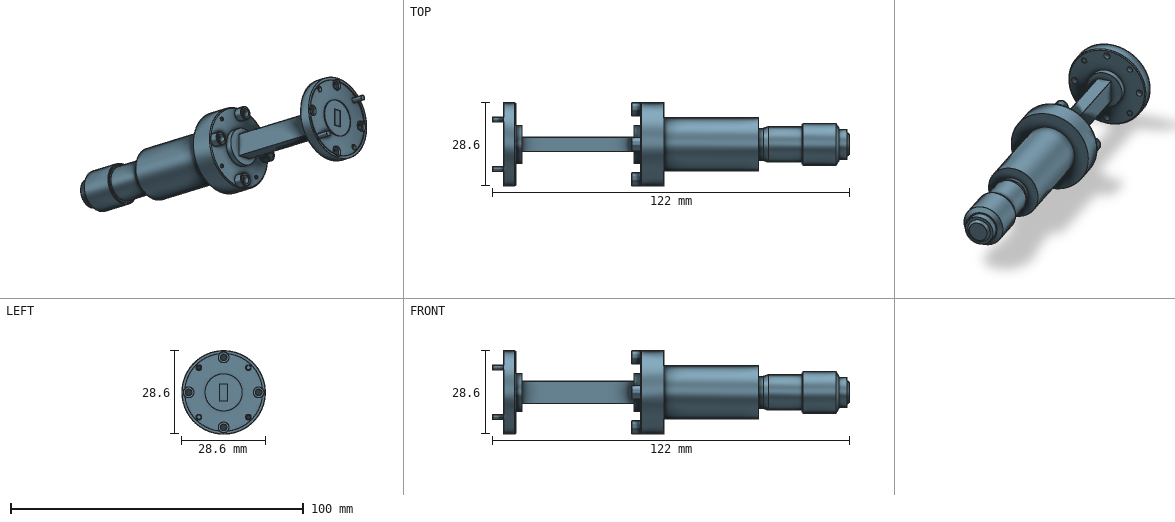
import cadquery as cq

overall_length = 122.0
pin_tip_x = -overall_length / 2
rear_end_x = overall_length / 2

flange_radius = 14.3
front_flange_thickness = 4.1
rear_flange_thickness = 8.0
flange_edge_chamfer = 0.4
collar_radius = 6.5
collar_length = 2.2

face_groove_inner_radius = 6.3
face_groove_outer_radius = 13.3
face_groove_depth = 0.4
bolt_hole_radius = 1.1
bolt_counterbore_radius = 1.8
bolt_counterbore_depth = 1.3

pin_radius = 0.9
pin_hole_radius = 1.0
rear_pin_hole_radius = 0.6
rear_pin_hole_depth = 0.4
pin_protrusion = 3.8
pin_angles = (135, 315)
pin_hole_angles = (45, 135, 225, 315)

tube_width = 4.9
tube_height = 7.7
window_width = 2.7
window_height = 5.7
window_depth = 0.2

front_flange_x = pin_tip_x + pin_protrusion
front_flange_back_x = front_flange_x + front_flange_thickness
rear_flange_x = -10.5
rear_flange_back_x = rear_flange_x + rear_flange_thickness

screw_head_radius = 2.3
bolt_circle_radius = flange_radius - screw_head_radius
screw_head_height = 3.0
screw_head_chamfer = 0.2
screw_socket_radius = 1.5
screw_socket_depth = 2.5
screw_shank_radius = 1.5
screw_shank_length = 4.9
bolt_angles = (0, 90, 180, 270)

housing_radius = 9.1
housing_length = 32.3
housing_end_x = rear_flange_back_x + housing_length

neck_radius = 5.5
neck_end_x = 31.5
barrel_radius = 6.1
barrel_taper_end_x = 33.2
thimble_radius = 7.2
thimble_lip_radius = 6.7
thimble_lip_x = 44.6
thimble_x = 45.0
thimble_cone_x = 56.2
thimble_cone_end_radius = 5.5
knob_x = 57.3
knob_radius = 5.1
knob_end_x = 60.0
knob_tip_large_radius = 4.1
knob_tip_radius = 3.3


def x_cylinder(start_x, length, radius):
    """Solid cylinder on the X axis."""
    return cq.Workplane("YZ", origin=(start_x, 0, 0)).circle(radius).extrude(length)


def x_block(start_x, length, width, height):
    """Rectangular bar on the X axis, width along Y and height along Z."""
    return cq.Workplane("YZ", origin=(start_x, 0, 0)).rect(width, height).extrude(length)


def on_bolt_circle(shape, angle):
    """Move a shape from the X axis to an angle on the bolt circle."""
    return shape.translate((0, bolt_circle_radius, 0)).rotate((0, 0, 0), (1, 0, 0), angle)


def make_waveguide():
    """Tube with a flange and collar at each end."""
    front = x_cylinder(front_flange_x, front_flange_thickness, flange_radius)
    front = front.faces(">X").chamfer(flange_edge_chamfer)
    rear = x_cylinder(rear_flange_x, rear_flange_thickness, flange_radius)
    rear = rear.faces("<X").chamfer(flange_edge_chamfer)
    body = front.union(rear)
    body = body.union(x_cylinder(front_flange_back_x, collar_length, collar_radius))
    body = body.union(x_cylinder(rear_flange_x - collar_length, collar_length, collar_radius))
    tube_length = rear_flange_x - front_flange_back_x
    body = body.union(x_block(front_flange_back_x, tube_length, tube_width, tube_height))

    groove = x_cylinder(front_flange_x, face_groove_depth, face_groove_outer_radius)
    groove = groove.cut(x_cylinder(front_flange_x, face_groove_depth, face_groove_inner_radius))
    body = body.cut(groove)
    body = body.cut(x_block(front_flange_x, window_depth, window_width, window_height))

    bolt_hole = x_cylinder(front_flange_x, front_flange_thickness, bolt_hole_radius)
    bolt_hole = bolt_hole.union(x_cylinder(front_flange_x, bolt_counterbore_depth, bolt_counterbore_radius))
    screw_hole = x_cylinder(rear_flange_x, screw_shank_length, screw_shank_radius)
    for angle in bolt_angles:
        body = body.cut(on_bolt_circle(bolt_hole, angle))
        body = body.cut(on_bolt_circle(screw_hole, angle))

    pin_hole = x_cylinder(front_flange_x, front_flange_thickness, pin_hole_radius)
    rear_pin_hole = x_cylinder(rear_flange_x, rear_pin_hole_depth, rear_pin_hole_radius)
    for angle in pin_hole_angles:
        body = body.cut(on_bolt_circle(pin_hole, angle))
        body = body.cut(on_bolt_circle(rear_pin_hole, angle))
    return body


def make_pin(angle):
    """Alignment pin that passes through the front flange and stands out of its face."""
    pin = x_cylinder(pin_tip_x, pin_protrusion + front_flange_thickness, pin_radius)
    return on_bolt_circle(pin, angle)


def make_screw(angle):
    """Cap screw with its head on the rear flange and its shank in a matching hole."""
    head_x = rear_flange_x - screw_head_height
    head = x_cylinder(head_x, screw_head_height, screw_head_radius).faces("<X").chamfer(screw_head_chamfer)
    head = head.cut(x_cylinder(head_x, screw_socket_depth, screw_socket_radius))
    screw = head.union(x_cylinder(rear_flange_x, screw_shank_length, screw_shank_radius))
    return on_bolt_circle(screw, angle)


def make_housing():
    """Plain cylinder behind the rear flange."""
    return x_cylinder(rear_flange_back_x, housing_length, housing_radius)


def make_micrometer():
    """Turned micrometer head: neck, tapered barrel, thimble and end knob."""
    profile = [
        (housing_end_x, 0),
        (housing_end_x, neck_radius),
        (neck_end_x, neck_radius),
        (barrel_taper_end_x, barrel_radius),
        (thimble_lip_x, barrel_radius),
        (thimble_lip_x, thimble_lip_radius),
        (thimble_x, thimble_lip_radius),
        (thimble_x, thimble_radius),
        (thimble_cone_x, thimble_radius),
        (knob_x, thimble_cone_end_radius),
        (knob_x, knob_radius),
        (knob_end_x, knob_radius),
        (knob_end_x, knob_tip_large_radius),
        (rear_end_x, knob_tip_radius),
        (rear_end_x, 0),
    ]
    return cq.Workplane("XY").polyline(profile).close().revolve(360, (0, 0, 0), (1, 0, 0))


waveguide = make_waveguide()
pins = [make_pin(angle) for angle in pin_angles]
screws = [make_screw(angle) for angle in bolt_angles]
housing = make_housing()
micrometer = make_micrometer()

result = cq.Compound.makeCompound([
    waveguide.val(),
    *[pin.val() for pin in pins],
    *[screw.val() for screw in screws],
    housing.val(),
    micrometer.val(),
])